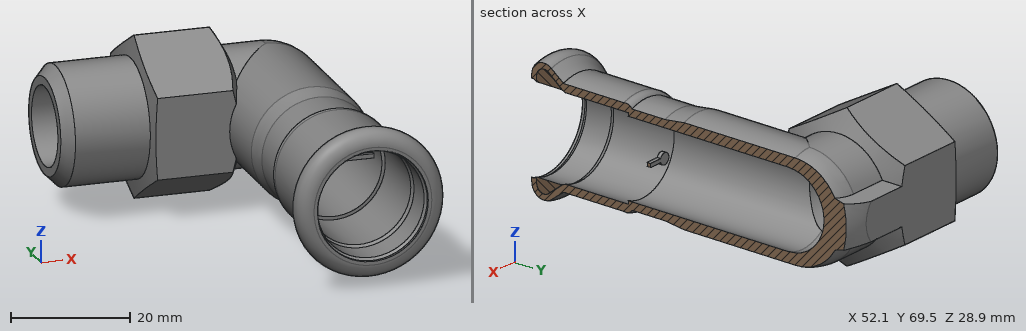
import cadquery as cq
import math


tube_radius = 21.0 / 2

thread_end_x = -39.0
thread_chamfer = 1.95
thread_bore_radius = 14.0 / 2

hex_across_flats = 25.0
hex_corner_radius = hex_across_flats / 2 / math.cos(math.radians(30))
hex_front_x = -23.85
hex_front_rise = 0.6
hex_back_x = -9.95
hex_back_chamfer_angle = 30.0

neck_radius = 20.0 / 2
socket_radius = 21.3 / 2
neck_taper_start_y = -24.0
neck_start_y = -28.1
neck_end_y = -35.25
socket_start_y = -37.0
bead_start_y = -50.05
mouth_y = hex_across_flats / 2 - 69.5
bead_radius = 26.2 / 2
bead_round = 2.7
bead_blend_angle = 37.0

bore_radius = 17.0 / 2
bore_dome_y = thread_bore_radius - bore_radius
socket_bottom_y = -36.15
socket_bore_radius = 18.2 / 2
seal_bore_radius = 18.8 / 2
seal_bore_cone_length = 0.75
mouth_radius = 19.5 / 2
mouth_cone_length = 0.6

bead_wall = 1.2
seal_round = bead_round - bead_wall

hump_top_y = hex_across_flats / 2
hump_base_y = 6.6
hump_top_width = 7.4
hump_base_width = 10.55
hump_end_axis_x = -5.55
hump_end_top_x = 0.35
hump_end_mid = (5.1, 10.15)

hub_radius = 1.1
arm_thickness = 0.75
hub_y = (neck_start_y + neck_end_y) / 2

bead_center_radius = bead_radius - bead_round
bead_center_y = mouth_y + bead_round
seal_end_y = bead_center_y - seal_round
bead_blend = math.radians(bead_blend_angle)
seal_start_y = (
    bead_center_y
    + seal_round * math.sin(bead_blend)
    + (bead_center_radius + seal_round * math.cos(bead_blend) - seal_bore_radius) / math.tan(bead_blend)
)


def cylinder_along_x(radius, x_start, x_end):
    return cq.Workplane("YZ", origin=(x_start, 0, 0)).circle(radius).extrude(x_end - x_start)


def revolve_about_x(profile):
    return profile.close().revolve(360, (0, 0, 0), (1, 0, 0))


def revolve_about_y(profile):
    return profile.close().revolve(360, (0, 0, 0), (0, 1, 0))


def bead_point(round_radius, angle=bead_blend):
    return (
        bead_center_radius + round_radius * math.cos(angle),
        bead_center_y + round_radius * math.sin(angle),
    )


def make_threaded_branch():
    pipe = cylinder_along_x(tube_radius, thread_end_x, 0)
    return pipe.faces("<X").chamfer(thread_chamfer)


def make_hexagon():
    back_run = math.tan(math.radians(hex_back_chamfer_angle))
    cone_end_x = hex_back_x + (hex_corner_radius - tube_radius) * back_run
    prism = (
        cq.Workplane("YZ", origin=(hex_front_x, 0, 0))
        .polygon(6, 2 * hex_corner_radius)
        .extrude(cone_end_x - hex_front_x)
        .rotate((0, 0, 0), (1, 0, 0), 90)
    )
    envelope = revolve_about_x(
        cq.Workplane("XY")
        .moveTo(hex_front_x, 0)
        .lineTo(hex_front_x, tube_radius)
        .lineTo(hex_front_x + hex_front_rise, hex_corner_radius)
        .lineTo(hex_back_x, hex_corner_radius)
        .lineTo(cone_end_x, tube_radius)
        .lineTo(cone_end_x, 0)
    )
    return prism.intersect(envelope)


def make_press_branch():
    shoulder_mid = (
        neck_radius + (socket_radius - neck_radius) * math.sin(math.radians(45)),
        socket_start_y + (neck_end_y - socket_start_y) * math.cos(math.radians(45)),
    )
    return revolve_about_y(
        cq.Workplane("XY")
        .lineTo(tube_radius, 0)
        .lineTo(tube_radius, neck_taper_start_y)
        .lineTo(neck_radius, neck_start_y)
        .lineTo(neck_radius, neck_end_y)
        .threePointArc(shoulder_mid, (socket_radius, socket_start_y))
        .lineTo(socket_radius, bead_start_y)
        .lineTo(*bead_point(bead_round))
        .threePointArc((bead_radius, bead_center_y), (bead_center_radius, mouth_y))
        .lineTo(0, mouth_y)
    )


def make_hump():
    foot_x = math.sqrt(tube_radius**2 - hump_base_y**2)
    bar = (
        cq.Workplane("YZ", origin=(hex_back_x, 0, 0))
        .moveTo(hump_base_y, -hump_base_width / 2)
        .lineTo(hump_top_y, -hump_top_width / 2)
        .lineTo(hump_top_y, hump_top_width / 2)
        .lineTo(hump_base_y, hump_base_width / 2)
        .close()
        .extrude(foot_x - hex_back_x)
    )
    dome = (
        cq.Workplane("XY")
        .moveTo(hump_end_axis_x, hump_base_y)
        .lineTo(foot_x, hump_base_y)
        .threePointArc(hump_end_mid, (hump_end_top_x, hump_top_y))
        .lineTo(hump_end_axis_x, hump_top_y)
        .close()
        .revolve(360, (hump_end_axis_x, 0, 0), (hump_end_axis_x, 1, 0))
    )
    return bar.intersect(dome)


def make_press_bore():
    dome_mid = bore_radius * math.sin(math.radians(45))
    return revolve_about_y(
        cq.Workplane("XY")
        .moveTo(0, thread_bore_radius)
        .threePointArc((dome_mid, bore_dome_y + dome_mid), (bore_radius, bore_dome_y))
        .lineTo(bore_radius, socket_bottom_y)
        .lineTo(socket_bore_radius, socket_bottom_y)
        .lineTo(socket_bore_radius, seal_start_y + seal_bore_cone_length)
        .lineTo(seal_bore_radius, seal_start_y)
        .lineTo(seal_bore_radius, seal_end_y)
        .lineTo(mouth_radius, seal_end_y - mouth_cone_length)
        .lineTo(mouth_radius, mouth_y)
        .lineTo(0, mouth_y)
    )


def make_hub_and_arm():
    arm_length = (bore_radius + neck_radius) / 2
    hub = cq.Workplane("XZ", origin=(0, hub_y, 0)).circle(hub_radius).extrude(arm_thickness / 2, both=True)
    arm = cq.Workplane("XY").box(arm_length, arm_thickness, arm_thickness, centered=(False, True, True))
    return hub.union(arm.translate((0, hub_y, 0)))


def make_seal():
    return revolve_about_y(
        cq.Workplane("XY")
        .moveTo(seal_bore_radius, seal_start_y)
        .lineTo(*bead_point(seal_round))
        .threePointArc(bead_point(seal_round, 0), (bead_center_radius, seal_end_y))
        .lineTo(seal_bore_radius, seal_end_y)
    )


def make_housing():
    outside = (
        make_threaded_branch()
        .union(make_press_branch())
        .union(cq.Workplane("XY").sphere(tube_radius))
        .union(make_hexagon())
        .union(make_hump())
    )
    return (
        outside.cut(cylinder_along_x(thread_bore_radius, thread_end_x, 0))
        .cut(make_press_bore())
        .cut(make_seal())
        .union(make_hub_and_arm())
    )


housing = make_housing()
seal = make_seal()
result = cq.Compound.makeCompound([housing.val(), seal.val()])